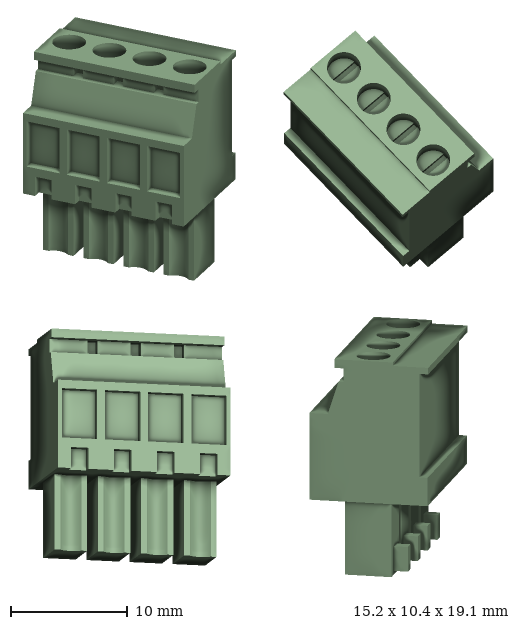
import cadquery as cq

pole_count = 4
total_width = 15.25
pitch = total_width / pole_count
total_height = 19.1
total_depth = 10.45

base_z = 6.57
foot_top_z = 9.07
front_top_z = 14.23
ledge_z = 17.11
back_lip_bottom_z = 18.22
front_lip_bottom_z = 18.34
back_lip_top_z = 18.8

slope_bottom_y = 1.62
front_lip_y = 2.2
slope_top_y = 2.55
neck_y = 3.0
lip_step_y = 7.33
back_wall_y = 9.68
foot_back_y = 10.39

window_width = 3.11
window_bottom_z = 9.2
window_top_z = 13.5
window_depth = 0.8

notch_width = 1.55
notch_top_z = 8.4
notch_depth = 0.78

neck_gap_width = 0.9
neck_gap_depth = 0.76

tower_width = 2.86
tower_front_y = 3.04
tower_back_y = 7.1
groove_width = 1.83
groove_depth = 0.36

tab_width = 1.0
tab_back_y = 8.35
tab_bottom_z = 0.32
tab_top_z = 2.5

screw_radius = 1.45
screw_y = 5.21
screw_recess = 1.43
screw_length = 1.5
slot_width = 0.52
slot_depth = 0.38

screw_top_z = total_height - screw_recess
pole_centres = [(index + 0.5) * pitch for index in range(pole_count)]
pole_borders = [index * pitch for index in range(1, pole_count)]


def block(centre_x, width, y_range, z_range):
    """Box centred on centre_x that spans the given y and z ranges."""
    y_min, y_max = y_range
    z_min, z_max = z_range
    corner = (centre_x - width / 2, y_min, z_min)
    return cq.Workplane("XY").box(width, y_max - y_min, z_max - z_min, centered=False).translate(corner)


def make_shell():
    """Constant side outline of the housing, extruded along the row of poles."""
    outline = [
        (0, base_z),
        (foot_back_y, base_z),
        (foot_back_y, foot_top_z),
        (back_wall_y, foot_top_z),
        (back_wall_y, back_lip_bottom_z),
        (total_depth, back_lip_bottom_z),
        (total_depth, back_lip_top_z),
        (lip_step_y, back_lip_top_z),
        (lip_step_y, total_height),
        (front_lip_y, total_height),
        (front_lip_y, front_lip_bottom_z),
        (neck_y, front_lip_bottom_z),
        (neck_y, ledge_z),
        (slope_top_y, ledge_z),
        (slope_bottom_y, front_top_z),
        (0, front_top_z),
    ]
    return cq.Workplane("YZ").polyline(outline).close().extrude(total_width)


def make_window(centre_x):
    return block(centre_x, window_width, (0, window_depth), (window_bottom_z, window_top_z))


def make_notch(centre_x):
    return block(centre_x, notch_width, (0, notch_depth), (base_z, notch_top_z))


def make_neck_gap(centre_x):
    return block(centre_x, neck_gap_width, (neck_y, neck_y + neck_gap_depth), (ledge_z, front_lip_bottom_z))


def make_screw_hole(centre_x):
    """Blind hole that holds the screw and leaves its head below the top face."""
    hole_bottom_z = screw_top_z - screw_length
    hole = cq.Workplane("XY").workplane(offset=hole_bottom_z).center(centre_x, screw_y)
    return hole.circle(screw_radius).extrude(total_height - hole_bottom_z)


def make_tower(centre_x):
    """Contact tower with a round groove down its front and a keying tab on its back."""
    half_width = tower_width / 2
    half_groove = groove_width / 2
    tower = (
        cq.Workplane("XY")
        .moveTo(centre_x - half_width, tower_front_y)
        .lineTo(centre_x - half_groove, tower_front_y)
        .threePointArc((centre_x, tower_front_y + groove_depth), (centre_x + half_groove, tower_front_y))
        .lineTo(centre_x + half_width, tower_front_y)
        .lineTo(centre_x + half_width, tower_back_y)
        .lineTo(centre_x - half_width, tower_back_y)
        .close()
        .extrude(base_z)
    )
    return tower.union(block(centre_x, tab_width, (tower_back_y, tab_back_y), (tab_bottom_z, tab_top_z)))


def make_housing():
    housing = make_shell()
    for centre_x in pole_centres:
        housing = housing.union(make_tower(centre_x))
        housing = housing.cut(make_window(centre_x))
        housing = housing.cut(make_notch(centre_x))
        housing = housing.cut(make_screw_hole(centre_x))
    for border_x in pole_borders:
        housing = housing.cut(make_neck_gap(border_x))
    return housing


def make_screw(centre_x):
    """Cylindrical screw with a straight driver slot across its head, along Y."""
    body = cq.Workplane("XY").workplane(offset=screw_top_z - screw_length).center(centre_x, screw_y)
    body = body.circle(screw_radius).extrude(screw_length)
    slot_y_range = (screw_y - screw_radius, screw_y + screw_radius)
    return body.cut(block(centre_x, slot_width, slot_y_range, (screw_top_z - slot_depth, screw_top_z)))


housing = make_housing()
screws = [make_screw(centre_x) for centre_x in pole_centres]

result = cq.Compound.makeCompound([housing.solids().val(), *[screw.solids().val() for screw in screws]])